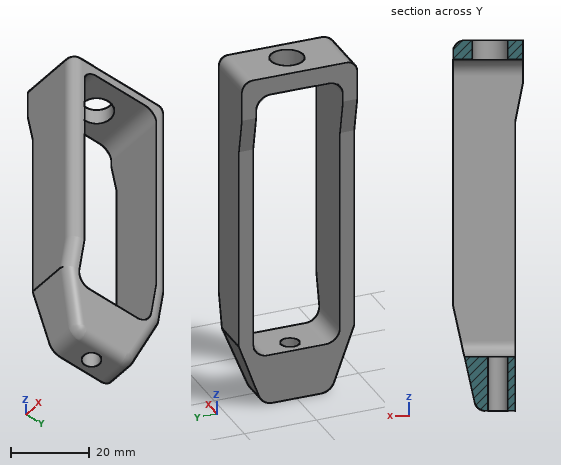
import cadquery as cq
import math

height = 95.0
depth = 18.0
width = 32.0
cut_margin = 0.95

step_back = 2.0
step_start_drop = 11.0
step_end_drop = 21.0
foot_taper_height = 27.0
foot_taper_run = 6.0

flank_height = 18.0
flank_angle = 20.0
flank_inset = flank_height * math.tan(math.radians(flank_angle))

top_corner_radius = 3.0
foot_corner_radius = 4.0
edge_radius = 3.0

leg_thickness = 4.0
top_thickness = 5.0
foot_thickness = 14.0
window_radius = 4.0

head_hole_diameter = 9.0
head_hole_x = 8.5
foot_hole_diameter = 5.0
foot_hole_x = 6.5


def side_body():
    """Side profile in XZ, extruded symmetrically across the width."""
    profile = [
        (step_back, 0),
        (depth - foot_taper_run, 0),
        (depth, foot_taper_height),
        (depth, height),
        (0, height),
        (0, height - step_start_drop),
        (step_back, height - step_end_drop),
    ]
    return cq.Workplane("XZ").polyline(profile).close().extrude(width / 2, both=True)


def flank_cutter(side):
    """Wedge beside the foot; side is +1 or -1 along Y."""
    outside = width / 2 + cut_margin
    slope = math.tan(math.radians(flank_angle))
    below = width / 2 - flank_inset - cut_margin * slope
    profile = [
        (side * width / 2, flank_height),
        (side * outside, flank_height),
        (side * outside, -cut_margin),
        (side * below, -cut_margin),
    ]
    return cq.Workplane("YZ").polyline(profile).close().extrude(depth + cut_margin)


def window_cutter():
    window_height = height - top_thickness - foot_thickness
    return (
        cq.Workplane("YZ")
        .center(0, foot_thickness + window_height / 2)
        .rect(width - 2 * leg_thickness, window_height)
        .extrude(depth)
        .edges("|X")
        .fillet(window_radius)
    )


def vertical_hole(diameter, x, bottom, length):
    return cq.Workplane("XY", origin=(x, 0, bottom)).circle(diameter / 2).extrude(length)


def back_rim(solid):
    """Edges around the upright and tapered +X faces, without the bend between them."""
    taper_normal = cq.Vector(foot_taper_height, 0, -foot_taper_run)
    upright_edges = solid.faces(">X").edges()
    taper_edges = solid.faces(cq.selectors.ParallelDirSelector(taper_normal)).edges()
    bend = upright_edges.edges("<Z").val()
    return [edge for edge in upright_edges.vals() + taper_edges.vals() if not edge.isSame(bend)]


body = side_body()
for side in (-1, 1):
    body = body.cut(flank_cutter(side))

body = body.faces(">Z").edges("|X").fillet(top_corner_radius)
body = body.faces("<Z").edges("|X").fillet(foot_corner_radius)
body = body.newObject(back_rim(body)).fillet(edge_radius)

result = (
    body.cut(window_cutter())
    .cut(vertical_hole(head_hole_diameter, head_hole_x, height - top_thickness, top_thickness))
    .cut(vertical_hole(foot_hole_diameter, foot_hole_x, 0, foot_thickness))
)